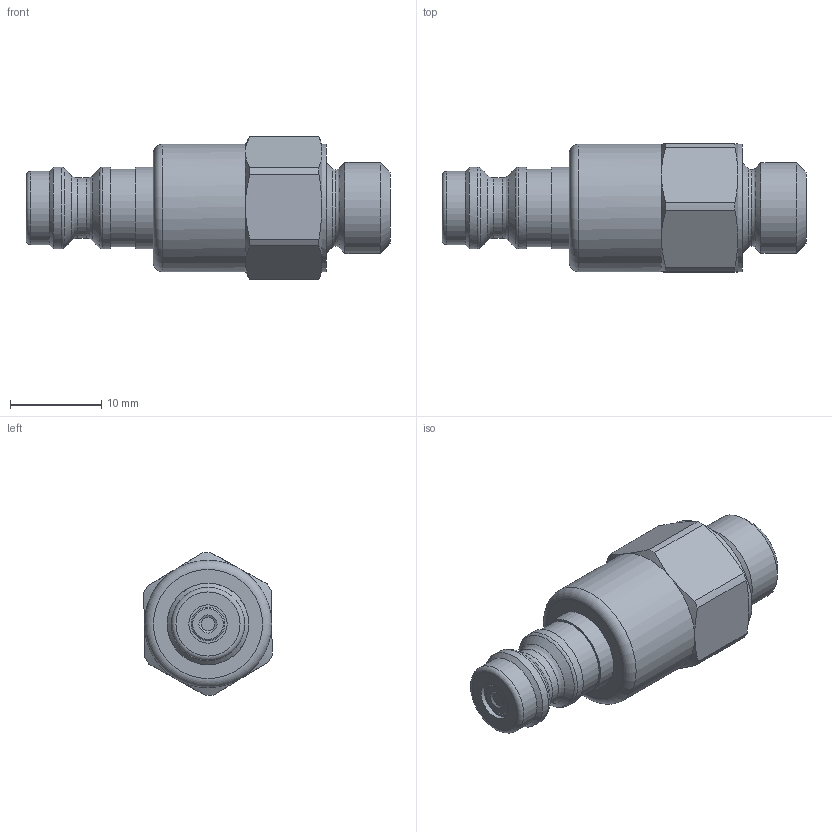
import cadquery as cq
import math


body_start = 14.0
hex_start = 24.1
hex_end = 32.5
collar_end = 33.0
thread_start = 35.05
total_length = 40.0

tip_radius = 8.05 / 2
tip_edge_fillet = 0.5
flange_radius = 8.96 / 2
flange_start = 3.02
flange_edge = 4.1
shoulder_edge = 8.2
shoulder_end = 9.3
seal_land_radius = 8.5 / 2
seal_land_end = 12.0
neck_radius = 6.6 / 2
neck_crest_fillet = 0.5
neck_root_fillet = 1.0

body_radius = 14.0 / 2
body_edge_fillet = 1.0

hex_across_flats = 14.0
hex_corner_radius = 15.7 / 2
hex_turn = 1.07
hex_front_chamfer_angle = 30.0
hex_back_chamfer_angle = 20.0

thread_radius = 10.0 / 2
thread_end_chamfer = 1.05
groove_radius = 8.4 / 2
groove_root_fillet = 0.5

bore_radius = 4.2 / 2
bore_depth = 0.5
pin_base_radius = 3.7 / 2
pin_face_radius = 3.36 / 2
pin_recess = 0.35
dimple_mouth_radius = 2.0 / 2
dimple_floor_radius = 1.5 / 2
dimple_depth = 0.15


def revolve_profile(points):
    """Solid turned about X from (x, radius) points that start and end on the axis."""
    return cq.Workplane("XY").polyline(points).close().revolve(360, (0, 0, 0), (1, 0, 0))


def fillet_rings(solid, rings, fillet):
    """Round the circular edges found at the given (x, radius) places."""
    tolerance = 0.01
    edges = [
        edge
        for edge in solid.edges("%CIRCLE").vals()
        for x, radius in rings
        if abs(edge.Center().x - x) < tolerance and abs(edge.radius() - radius) < tolerance
    ]
    return solid.newObject(edges).fillet(fillet)


def make_turned_body():
    """Plug tip, cylinder, collar and threaded end, without the hexagon."""
    neck_drop = flange_radius - neck_radius
    groove_drop = thread_radius - groove_radius
    flange_rise = flange_radius - tip_radius
    neck_start = flange_edge + neck_drop
    neck_end = shoulder_edge - neck_drop
    groove_start = collar_end + groove_drop
    groove_end = thread_start - groove_drop
    profile = [
        (0, 0),
        (0, tip_radius),
        (flange_start - flange_rise, tip_radius),
        (flange_start, flange_radius),
        (flange_edge, flange_radius),
        (neck_start, neck_radius),
        (neck_end, neck_radius),
        (shoulder_edge, flange_radius),
        (shoulder_end, flange_radius),
        (shoulder_end, seal_land_radius),
        (seal_land_end, seal_land_radius),
        (seal_land_end, flange_radius),
        (body_start, flange_radius),
        (body_start, body_radius),
        (collar_end, body_radius),
        (collar_end, thread_radius),
        (groove_start, groove_radius),
        (groove_end, groove_radius),
        (thread_start, thread_radius),
        (total_length - thread_end_chamfer, thread_radius),
        (total_length, thread_radius - thread_end_chamfer),
        (total_length, 0),
    ]
    body = revolve_profile(profile)
    body = fillet_rings(body, [(0, tip_radius)], tip_edge_fillet)
    neck_root = [(neck_start, neck_radius), (neck_end, neck_radius)]
    body = fillet_rings(body, neck_root, neck_root_fillet)
    neck_crest = [(flange_edge, flange_radius), (shoulder_edge, flange_radius)]
    body = fillet_rings(body, neck_crest, neck_crest_fillet)
    body = fillet_rings(body, [(body_start, body_radius)], body_edge_fillet)
    groove_root = [(groove_start, groove_radius), (groove_end, groove_radius)]
    return fillet_rings(body, groove_root, groove_root_fillet)


def make_hexagon():
    """Hexagon with rounded corners and coned ends, corners near +Z and -Z."""
    prism = (
        cq.Workplane("YZ", origin=(hex_start, 0, 0))
        .polygon(6, hex_across_flats, circumscribed=True)
        .extrude(hex_end - hex_start)
        .rotate((0, 0, 0), (1, 0, 0), -hex_turn)
    )
    corner_height = hex_corner_radius - body_radius
    front_chamfer = corner_height * math.tan(math.radians(hex_front_chamfer_angle))
    back_chamfer = corner_height * math.tan(math.radians(hex_back_chamfer_angle))
    envelope = revolve_profile([
        (hex_start, 0),
        (hex_start, body_radius),
        (hex_start + front_chamfer, hex_corner_radius),
        (hex_end - back_chamfer, hex_corner_radius),
        (hex_end, body_radius),
        (hex_end, 0),
    ])
    return prism.intersect(envelope)


def make_tip_recess():
    """Space in the tip bore, left open around the coned pin and in its dimple."""
    return revolve_profile([
        (0, 0),
        (0, bore_radius),
        (bore_depth, bore_radius),
        (bore_depth, pin_base_radius),
        (pin_recess, pin_face_radius),
        (pin_recess, dimple_mouth_radius),
        (pin_recess + dimple_depth, dimple_floor_radius),
        (pin_recess + dimple_depth, 0),
    ])


result = make_turned_body().union(make_hexagon()).cut(make_tip_recess())